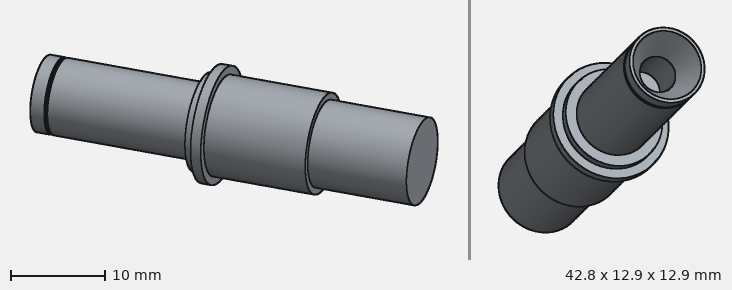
import cadquery as cq

total_length = 42.8

groove_start = 1.6
groove_width = 0.4
groove_floor_width = 0.13
collar_start = 17.98
flange_start = 19.0
body_start = 20.15
spigot_start = 31.65

tube_diameter = 8.4
groove_diameter = 8.3
collar_diameter = 10.8
flange_diameter = 12.9
body_diameter = 11.0
spigot_diameter = 9.5

mouth_diameter = 7.6
bore_diameter = 4.0
cone_depth = 3.2
bore_depth = 8.55


def cylinder_between(start, end, diameter):
    """Solid cylinder on the X axis from start to end."""
    return cq.Workplane("YZ", origin=(start, 0, 0)).circle(diameter / 2).extrude(end - start)


def stepped_outside():
    """Tube, collar, flange, body and spigot joined end to end."""
    sections = [
        (0, collar_start, tube_diameter),
        (collar_start, flange_start, collar_diameter),
        (flange_start, body_start, flange_diameter),
        (body_start, spigot_start, body_diameter),
        (spigot_start, total_length, spigot_diameter),
    ]
    solid = cylinder_between(*sections[0])
    for section in sections[1:]:
        solid = solid.union(cylinder_between(*section))
    return solid


def groove_ring():
    """Shallow ring with sloping walls removed from the tube near its open end."""
    tube_radius = tube_diameter / 2
    floor_radius = groove_diameter / 2
    wall_width = (groove_width - groove_floor_width) / 2
    floor_start = groove_start + wall_width
    return (
        cq.Workplane("XY")
        .moveTo(groove_start, tube_radius)
        .lineTo(floor_start, floor_radius)
        .lineTo(floor_start + groove_floor_width, floor_radius)
        .lineTo(groove_start + groove_width, tube_radius)
        .close()
        .revolve(360, (0, 0, 0), (1, 0, 0))
    )


def mouth_and_bore():
    """Conical entry and blind bore as one revolved cavity."""
    return (
        cq.Workplane("XY")
        .moveTo(0, 0)
        .lineTo(0, mouth_diameter / 2)
        .lineTo(cone_depth, bore_diameter / 2)
        .lineTo(bore_depth, bore_diameter / 2)
        .lineTo(bore_depth, 0)
        .close()
        .revolve(360, (0, 0, 0), (1, 0, 0))
    )


result = stepped_outside().cut(groove_ring()).cut(mouth_and_bore())